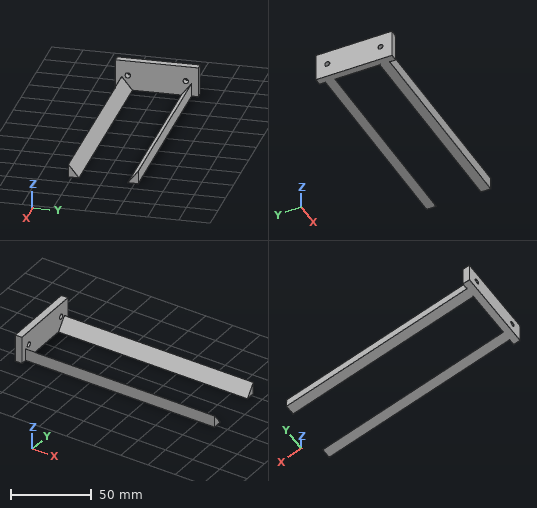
import cadquery as cq

total_length = 144.0
plate_thickness = 5.0
plate_width = 53.0
plate_height = 19.6

hole_diameter = 3.3
hole_spacing = 37.0

arm_outer_offset = 22.3
arm_width = 6.9
arm_height = 8.6
arm_length = total_length - plate_thickness


def make_plate():
    """Plate centred in Y with its bottom edge on Z = 0."""
    plate = cq.Workplane("XY").box(
        plate_thickness, plate_width, plate_height, centered=(False, True, False)
    )
    holes = (
        cq.Workplane("YZ")
        .pushPoints([(side * hole_spacing / 2, plate_height / 2) for side in (-1, 1)])
        .circle(hole_diameter / 2)
        .extrude(plate_thickness)
    )
    return plate.cut(holes)


def make_arm(side):
    """Arm on the +Y (side = 1) or -Y (side = -1) half, sloping down inward."""
    outer_y = side * arm_outer_offset
    inner_y = side * (arm_outer_offset - arm_width)
    return (
        cq.Workplane("YZ", origin=(plate_thickness, 0, 0))
        .polyline([(inner_y, 0), (outer_y, 0), (outer_y, arm_height)])
        .close()
        .extrude(arm_length)
    )


result = make_plate()
for arm_side in (-1, 1):
    result = result.union(make_arm(arm_side))